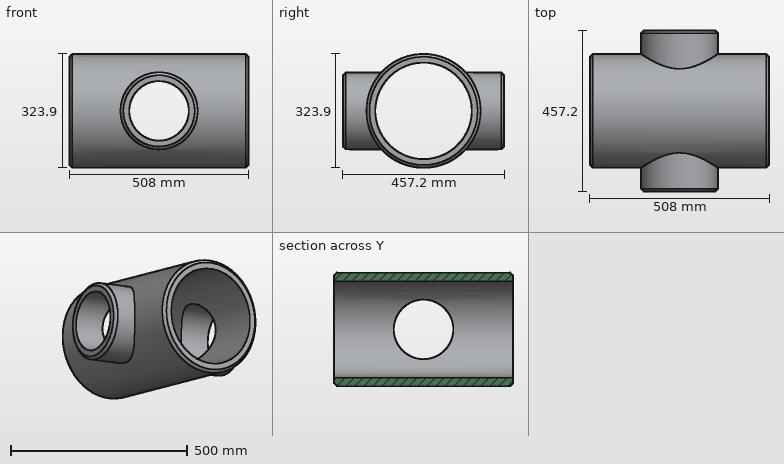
import cadquery as cq

run_length = 508.0
run_outer_diameter = 323.85
branch_span = 457.2
branch_outer_diameter = 219.075
wall_thickness = 25.4
bevel_size = 8.5


def bevelled_bar(plane, length, diameter):
    """Solid bar centred on the origin along the plane normal, both ends bevelled."""
    bar = cq.Workplane(plane).circle(diameter / 2).extrude(length / 2, both=True)
    return bar.faces("%PLANE").edges().chamfer(bevel_size)


def bore(plane, length, outer_diameter):
    """Through bore that leaves the wall thickness inside the given outer diameter."""
    bore_radius = outer_diameter / 2 - wall_thickness
    return cq.Workplane(plane).circle(bore_radius).extrude(length / 2, both=True)


run_plane = "YZ"
branch_plane = "XZ"

outer_body = bevelled_bar(run_plane, run_length, run_outer_diameter).union(
    bevelled_bar(branch_plane, branch_span, branch_outer_diameter)
)

result = outer_body.cut(bore(run_plane, run_length, run_outer_diameter)).cut(
    bore(branch_plane, branch_span, branch_outer_diameter)
)